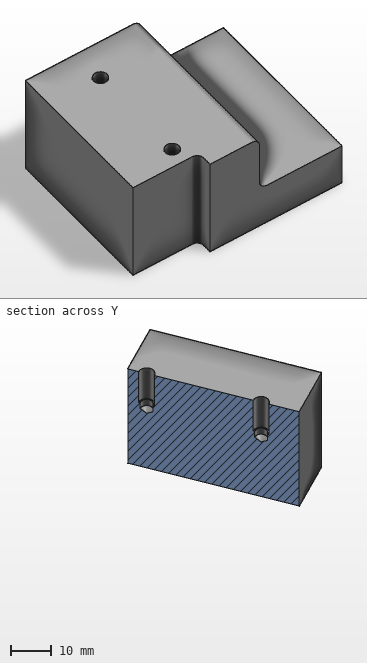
import cadquery as cq
import math

width = 49.6
length = 60
height = 31.0

block_depth = 35.0
ledge_height = 13.0
step_radius = 2.5

notch_x = 45
notch_depth = 20.0
notch_radius = 2.0

bore_diameter = 4.0
bore_depth = 10.0
core_diameter = 3.3
core_depth = 12
drill_angle = 118
hole_first_x = 10.0
hole_spacing = 30
hole_y = 15.5


def stepped_block():
    """Extrude the side profile with one rounded outer and one rounded inner corner."""
    profile = (
        cq.Workplane("YZ")
        .lineTo(length, 0)
        .lineTo(length, ledge_height)
        .lineTo(block_depth + step_radius, ledge_height)
        .radiusArc((block_depth, ledge_height + step_radius), step_radius)
        .lineTo(block_depth, height - step_radius)
        .radiusArc((block_depth - step_radius, height), -step_radius)
        .lineTo(0, height)
        .close()
    )
    return profile.extrude(width)


def corner_notch():
    """Cutter for the front corner, rounded at its inner edge."""
    cutter = cq.Workplane("XY").box(width - notch_x, notch_depth, height, centered=False)
    cutter = cutter.edges("|Z and <X and >Y").fillet(notch_radius)
    return cutter.translate((notch_x, 0, 0))


def stepped_hole(x):
    """Cutter for a vertical stepped hole ending in a drill point."""
    bore_radius = bore_diameter / 2
    core_radius = core_diameter / 2
    point_depth = core_radius / math.tan(math.radians(drill_angle / 2))
    half_section = (
        cq.Workplane("XZ")
        .lineTo(bore_radius, 0)
        .lineTo(bore_radius, -bore_depth)
        .lineTo(core_radius, -bore_depth)
        .lineTo(core_radius, -core_depth)
        .lineTo(0, -core_depth - point_depth)
        .close()
    )
    return half_section.revolve(360, (0, 0), (0, 1)).translate((x, hole_y, height))


result = stepped_block().cut(corner_notch())
for hole_x in (hole_first_x, hole_first_x + hole_spacing):
    result = result.cut(stepped_hole(hole_x))